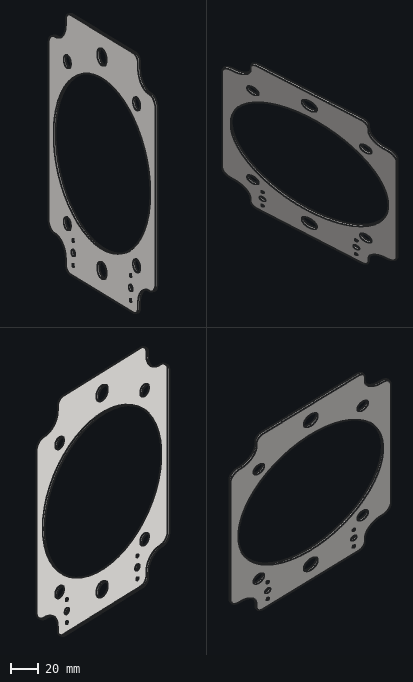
import cadquery as cq

width = 148.0
height = 204
thickness = 2.0

notch_width = 24.0
notch_height = 24.7
notch_radius = 15.0
shoulder_radius = 8.2
end_radius = 6.0

bore_diameter = 134.0
end_hole_diameter = 13.0
end_hole_offset = 83.8
corner_hole_diameter = 10.0
corner_hole_x = 48.0
corner_hole_z = 63.6
side_hole_diameter = 5.0
pin_hole_diameter = 2.5
pin_hole_spacing = 9.8
side_hole_x = 39.8


def plate():
    """Plate with a rounded, filleted notch at each corner, centred on the origin."""
    side_x = width / 2
    end_z = height / 2
    neck_x = side_x - notch_width
    shoulder_z = end_z - notch_height
    quarter = (
        cq.Workplane("XZ")
        .lineTo(side_x, 0)
        .lineTo(side_x, shoulder_z - shoulder_radius)
        .radiusArc((side_x - shoulder_radius, shoulder_z), -shoulder_radius)
        .lineTo(neck_x + notch_radius, shoulder_z)
        .radiusArc((neck_x, shoulder_z + notch_radius), notch_radius)
        .lineTo(neck_x, end_z - end_radius)
        .radiusArc((neck_x - end_radius, end_z), -end_radius)
        .lineTo(0, end_z)
        .close()
        .extrude(thickness / 2, both=True)
    )
    half = quarter.union(quarter.mirror("YZ"))
    return half.union(half.mirror("XY")).clean()


def drill(body, points, diameter):
    """Cut through holes at the given (x, z) points."""
    cutters = (
        cq.Workplane("XZ")
        .pushPoints(points)
        .circle(diameter / 2)
        .extrude(thickness, both=True)
    )
    return body.cut(cutters)


result = plate()

result = drill(result, [(0, 0)], bore_diameter)
result = drill(result, [(0, -end_hole_offset), (0, end_hole_offset)], end_hole_diameter)

corner_points = [(sx * corner_hole_x, sz * corner_hole_z) for sx in (-1, 1) for sz in (-1, 1)]
result = drill(result, corner_points, corner_hole_diameter)

for x in (-side_hole_x, side_hole_x):
    result = drill(result, [(x, -end_hole_offset)], side_hole_diameter)
    pin_points = [(x, -end_hole_offset + sz * pin_hole_spacing) for sz in (-1, 1)]
    result = drill(result, pin_points, pin_hole_diameter)